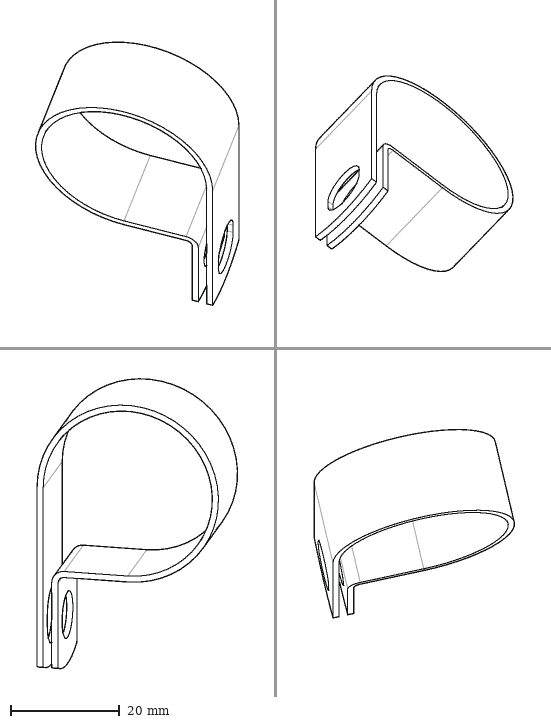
import cadquery as cq
import math

total_height = 53.5
loop_diameter = 34.2
strap_width = 15.9
thickness = 1.2
leg_gap = 1.6
bend_inner_radius = 1.2
hole_diameter = 8.8
slot_length = 10.9
hole_to_tip = 9.5
tip_rise = 1.7

outer_radius = loop_diameter / 2
inner_radius = outer_radius - thickness
tip_z = outer_radius - total_height
hole_z = tip_z + hole_to_tip
short_leg_outer = inner_radius - leg_gap
short_leg_inner = short_leg_outer - thickness
bend_outer_radius = bend_inner_radius + thickness
bend_x = short_leg_outer - bend_outer_radius
bend_z = -inner_radius - bend_outer_radius
diagonal = math.sqrt(0.5)


def on_diagonal(center_x, center_z, radius, side):
    """Point on an arc at 45 degrees above its center; side is +1 right, -1 left."""
    return (center_x + side * radius * diagonal, center_z + radius * diagonal)


def bent_strap():
    """Three-quarter loop with a long tangent leg and a short bent leg."""
    return (
        cq.Workplane("XZ")
        .moveTo(outer_radius, tip_z)
        .lineTo(outer_radius, 0)
        .threePointArc(on_diagonal(0, 0, outer_radius, -1), (0, -outer_radius))
        .lineTo(bend_x, -outer_radius)
        .threePointArc(on_diagonal(bend_x, bend_z, bend_inner_radius, 1), (short_leg_inner, bend_z))
        .lineTo(short_leg_inner, tip_z)
        .lineTo(short_leg_outer, tip_z)
        .lineTo(short_leg_outer, bend_z)
        .threePointArc(on_diagonal(bend_x, bend_z, bend_outer_radius, 1), (bend_x, -inner_radius))
        .lineTo(0, -inner_radius)
        .threePointArc(on_diagonal(0, 0, inner_radius, -1), (inner_radius, 0))
        .lineTo(inner_radius, tip_z)
        .close()
        .extrude(strap_width / 2, both=True)
    )


def side_outline():
    """Block with the strap's side outline: straight edges and a rounded lower tip."""
    half_width = strap_width / 2
    corner_z = tip_z + tip_rise
    return (
        cq.Workplane("YZ")
        .moveTo(-half_width, outer_radius)
        .lineTo(-half_width, corner_z)
        .threePointArc((0, tip_z), (half_width, corner_z))
        .lineTo(half_width, outer_radius)
        .close()
        .extrude(outer_radius, both=True)
    )


def leg_face(start_x):
    """YZ work plane on the inner face of a leg, centered on the bolt axis."""
    return cq.Workplane("YZ", origin=(start_x, 0, hole_z))


def round_hole():
    """Round bolt hole through the short leg."""
    return leg_face(short_leg_inner).circle(hole_diameter / 2).extrude(thickness)


def vertical_slot():
    """Upright slot through the long leg, as wide as the round hole."""
    slot_angle = 90
    return leg_face(inner_radius).slot2D(slot_length, hole_diameter, slot_angle).extrude(thickness)


result = bent_strap().intersect(side_outline()).cut(round_hole()).cut(vertical_slot())